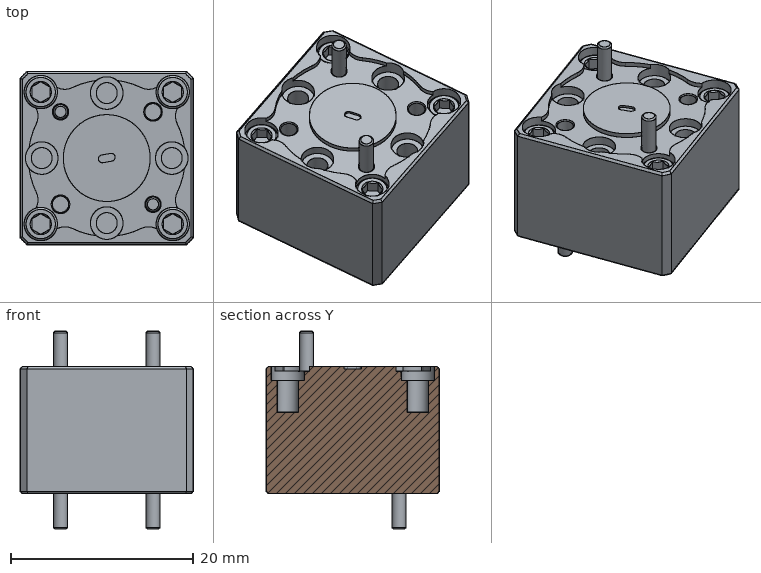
import cadquery as cq
import math

width = 19.05
height = 13.97
corner_chamfer = 0.762
rim_chamfer = 0.254
top = height / 2

recess_depth = 0.508
recess_radius = 8.61
boss_diameter = 9.55
lobe_radius = 1.55
land_nose_radius = 1.9

slot_length = 1.85
slot_width = 0.86
slot_depth = 0.254
slot_angle = 10.0

screw_offset = 7.25
screw_bore_diameter = 3.66
screw_head_depth = 0.9
screw_head_chamfer = 0.22
socket_across_flats = 1.98
socket_depth = 1.4
socket_turn = 30.0
socket_chamfer_diameter = 2.33

side_hole_offset = 7.144
side_bore_diameter = 3.58
side_bore_depth = 1.524
side_hole_diameter = 2.3
side_hole_depth = 5.0

dowel_offset = 5.08
pin_diameter = 1.588
overall_height = 21.74
pin_tip = overall_height / 2
pin_insertion = 4.0
pin_root = top - pin_insertion
pin_chamfer = 0.18
pin_countersink = 0.1
dowel_hole_diameter = 1.8
dowel_hole_depth = 4.0
dowel_hole_chamfer = 0.12

corner_angles = [math.radians(45 + 90 * i) for i in range(4)]
corners = [(sx, sy) for sx in (-1, 1) for sy in (-1, 1)]
recess_floor = top - recess_depth


def cylinder(x, y, z_low, z_high, diameter):
    return cq.Workplane("XY", origin=(x, y, z_low)).circle(diameter / 2).extrude(z_high - z_low)


def cone(x, y, z_low, z_high, low_diameter, high_diameter):
    solid = cq.Solid.makeCone(
        low_diameter / 2, high_diameter / 2, z_high - z_low, cq.Vector(x, y, z_low)
    )
    return cq.Workplane(obj=solid)


def make_block():
    block = cq.Workplane("XY").box(width, width, height)
    block = block.edges("|Z").chamfer(corner_chamfer)
    return block.faces("<Z or >Z").edges().chamfer(rim_chamfer)


def polar(radius, angle):
    return (radius * math.cos(angle), radius * math.sin(angle))


def toward(start, end, distance):
    """Point at the given distance from start, on the line to end."""
    span = math.dist(start, end)
    return tuple(a + (b - a) * distance / span for a, b in zip(start, end))


def midpoint(start, end):
    return tuple((a + b) / 2 for a, b in zip(start, end))


def make_recess():
    """Recess outline: four recess arcs and four lobe arcs joined by rounded noses of land."""
    lobe_distance = screw_offset * math.sqrt(2)
    nose_distance = recess_radius + land_nose_radius
    nose_to_lobe = lobe_radius + land_nose_radius
    nose_half_angle = math.acos(
        (lobe_distance**2 + nose_distance**2 - nose_to_lobe**2) / (2 * lobe_distance * nose_distance)
    )

    outline = cq.Workplane("XY", origin=(0, 0, recess_floor))
    outline = outline.moveTo(*polar(recess_radius, corner_angles[0] - nose_half_angle))
    for angle in corner_angles:
        lobe = polar(lobe_distance, angle)
        first_nose = polar(nose_distance, angle - nose_half_angle)
        last_nose = polar(nose_distance, angle + nose_half_angle)
        nose_starts = polar(recess_radius, angle - nose_half_angle)
        lobe_starts = toward(lobe, first_nose, lobe_radius)
        lobe_ends = toward(lobe, last_nose, lobe_radius)
        nose_ends = polar(recess_radius, angle + nose_half_angle)
        first_middle = midpoint(nose_starts, lobe_starts)
        last_middle = midpoint(nose_ends, lobe_ends)
        outline = outline.threePointArc(toward(first_nose, first_middle, land_nose_radius), lobe_starts)
        outline = outline.threePointArc(polar(lobe_distance + lobe_radius, angle), lobe_ends)
        outline = outline.threePointArc(toward(last_nose, last_middle, land_nose_radius), nose_ends)
        outline = outline.threePointArc(
            polar(recess_radius, angle + math.pi / 4),
            polar(recess_radius, angle + math.pi / 2 - nose_half_angle),
        )
    recess = outline.close().extrude(recess_depth)
    return recess.cut(cylinder(0, 0, recess_floor, top, boss_diameter))


def make_slot():
    slot = cq.Workplane("XY", origin=(0, 0, top - slot_depth))
    return slot.slot2D(slot_length, slot_width, slot_angle).extrude(slot_depth)


def make_screw_cavity(x, y):
    """Counterbore, bevel around the screw head, and the head's hexagon socket."""
    head_top = top - screw_head_depth
    head_bevel_end = head_top - screw_head_chamfer
    head_diameter = screw_bore_diameter - 2 * screw_head_chamfer
    bore = cylinder(x, y, head_bevel_end, top, screw_bore_diameter)
    bore = bore.cut(cone(x, y, head_bevel_end, head_top, screw_bore_diameter, head_diameter))
    corner_diameter = socket_across_flats / math.cos(math.pi / 6)
    socket = (
        cq.Workplane("XY", origin=(x, y, head_top - socket_depth))
        .transformed(rotate=(0, 0, socket_turn))
        .polygon(6, corner_diameter)
        .extrude(socket_depth)
    )
    bevel_depth = (socket_chamfer_diameter - socket_across_flats) / 2
    bevel = cone(x, y, head_top - bevel_depth, head_top, socket_across_flats, socket_chamfer_diameter)
    return bore.union(socket).union(bevel)


def make_side_hole(x, y):
    bore = cylinder(x, y, top - side_bore_depth, top, side_bore_diameter)
    return bore.union(cylinder(x, y, top - side_hole_depth, top, side_hole_diameter))


def make_countersink(x, y, diameter, depth):
    return cone(x, y, recess_floor - depth, recess_floor, diameter, diameter + 2 * depth)


def make_dowel_hole(x, y):
    hole = cylinder(x, y, recess_floor - dowel_hole_depth, recess_floor, dowel_hole_diameter)
    return hole.union(make_countersink(x, y, dowel_hole_diameter, dowel_hole_chamfer))


def make_top_pin(x, y):
    pin = cylinder(x, y, pin_root, pin_tip, pin_diameter)
    return pin.faces(">Z").edges().chamfer(pin_chamfer)


def make_bottom_pin(x, y):
    return make_top_pin(x, y).mirror("XY")


result = make_block()
result = result.cut(make_recess())
result = result.cut(make_slot())

for sx, sy in corners:
    result = result.cut(make_screw_cavity(sx * screw_offset, sy * screw_offset))

for ux, uy in [(1, 0), (0, 1), (-1, 0), (0, -1)]:
    result = result.cut(make_side_hole(ux * side_hole_offset, uy * side_hole_offset))

for sign in (-1, 1):
    hole_position = (sign * dowel_offset, sign * dowel_offset)
    pin_position = (sign * dowel_offset, -sign * dowel_offset)
    result = result.cut(make_dowel_hole(*hole_position))
    result = result.cut(make_countersink(*pin_position, pin_diameter, pin_countersink))
    result = result.union(make_top_pin(*pin_position))
    result = result.union(make_bottom_pin(*hole_position))